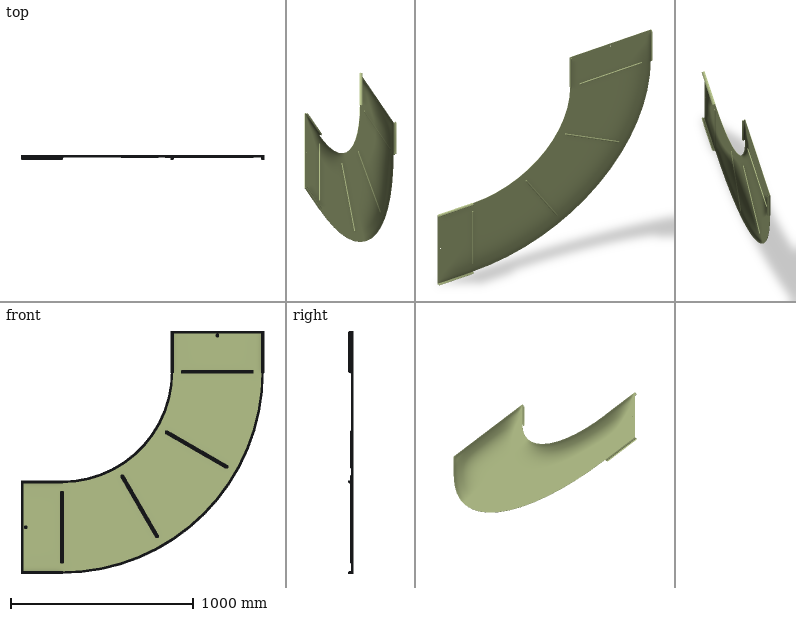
import cadquery as cq
import math

overall_size = 1318.2
overall_depth = 17.4
sheet = 1.5
leg_length = 217.5
flare = 2.5
sheet_width = 497.0

wall_depth = 8.0
snap_depth = 12.5
snap_reach = 5.0
lip_corner = 4.0

bead_length = 387.0
bead_width = 9.0
bead_angles = (0.0, 30.0, 60.0, 90.0)
hole_diameter = 6.0
hole_inset = 18.5

outer_radius = overall_size - leg_length - flare
inner_radius = outer_radius - sheet_width
middle_radius = (outer_radius + inner_radius) / 2


def on_bend(radius, angle):
    """Point on the bend: 0 degrees lies on +X, 90 degrees on -Z."""
    turn = math.radians(angle)
    return (radius * math.cos(turn), -radius * math.sin(turn))


def make_sheet():
    """Flat sheet: a quarter ring with a straight leg at each end."""
    return (
        cq.Workplane("XZ")
        .moveTo(outer_radius, leg_length)
        .lineTo(*on_bend(outer_radius, 0))
        .threePointArc(on_bend(outer_radius, 45), on_bend(outer_radius, 90))
        .lineTo(-leg_length, -outer_radius)
        .lineTo(-leg_length, -inner_radius)
        .lineTo(*on_bend(inner_radius, 90))
        .threePointArc(on_bend(inner_radius, 45), on_bend(inner_radius, 0))
        .lineTo(inner_radius, leg_length)
        .close()
        .extrude(sheet)
    )


def make_flange(edge, outward):
    """Flange of the upright leg along X = edge; outward is +1 or -1."""
    outside = [
        (flare, 0),
        (flare, wall_depth),
        (sheet - snap_reach, snap_depth),
        (flare, overall_depth),
    ]
    inside = [
        (flare - sheet, overall_depth),
        (-snap_reach, snap_depth),
        (flare - sheet, wall_depth),
        (flare - sheet, sheet),
        (-sheet, sheet),
        (-sheet, 0),
    ]
    profile = [(edge + outward * offset, -depth) for offset, depth in outside + inside]
    flange = cq.Workplane("XY").polyline(profile).close().extrude(leg_length)
    side_outline = (
        cq.Workplane("YZ", origin=(edge - overall_depth, 0, 0))
        .moveTo(0, 0)
        .lineTo(lip_corner - overall_depth, 0)
        .lineTo(-overall_depth, lip_corner)
        .lineTo(-overall_depth, leg_length - lip_corner)
        .lineTo(lip_corner - overall_depth, leg_length)
        .lineTo(0, leg_length)
        .close()
        .extrude(2 * overall_depth)
    )
    return flange.intersect(side_outline)


def to_level_leg(shape):
    """Carry a shape from the upright leg to the level leg by mirroring across the bend."""
    return shape.mirror("XY").rotate((0, 0, 0), (0, 1, 0), 90)


def make_bead(angle):
    """Half-round bead across the bend at the given angle, with quarter-sphere ends."""
    radius = bead_width / 2
    straight = bead_length - bead_width
    start = middle_radius - straight / 2
    bead = cq.Workplane("YZ", origin=(start, -sheet, 0)).circle(radius).extrude(straight)
    for end in (start, start + straight):
        bead = bead.union(cq.Workplane("XY", origin=(end, -sheet, 0)).sphere(radius))
    in_front_of_back_face = (
        cq.Workplane("XZ", origin=(0, -sheet / 2, 0))
        .center(middle_radius, 0)
        .rect(2 * bead_length, 2 * bead_width)
        .extrude(sheet + bead_width)
    )
    return bead.intersect(in_front_of_back_face).rotate((0, 0, 0), (0, 1, 0), angle)


def make_end_holes():
    """Cutters for the hole near the end of each leg."""
    end = leg_length - hole_inset
    return (
        cq.Workplane("XZ")
        .pushPoints([(middle_radius, end), (-end, -middle_radius)])
        .circle(hole_diameter / 2)
        .extrude(sheet)
    )


result = make_sheet()
for edge, outward in ((outer_radius, 1), (inner_radius, -1)):
    flange = make_flange(edge, outward)
    result = result.union(flange).union(to_level_leg(flange))
for angle in bead_angles:
    result = result.union(make_bead(angle))
result = result.cut(make_end_holes())